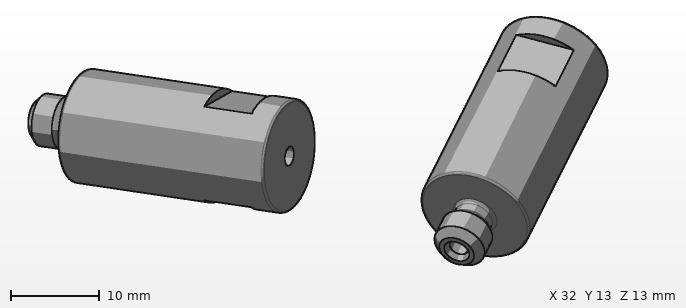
import cadquery as cq
import math

total_length = 32.0
body_diameter = 13.0
body_radius = body_diameter / 2
body_start = 6.0
rim_fillet = 0.25

head_radius = 3.0
head_chamfer = 0.93
head_end = 3.5
neck_radius = 2.2
neck_fillet = 0.4
shoulder_angle = math.radians(40)

bore_diameter = 2.2
mouth_diameter = 3.0
mouth_depth = 0.7

flat_start = 23.0
flat_length = 6.0
across_flats = 11.0


def turned_body():
    arc_centre_radius = neck_radius + neck_fillet
    cone_end_radius = arc_centre_radius - neck_fillet * math.cos(shoulder_angle)
    cone_end = head_end + (head_radius - cone_end_radius) / math.tan(shoulder_angle)
    arc_centre_x = cone_end + neck_fillet * math.sin(shoulder_angle)
    half_angle = shoulder_angle / 2
    cone_arc_middle = (
        arc_centre_x - neck_fillet * math.sin(half_angle),
        arc_centre_radius - neck_fillet * math.cos(half_angle),
    )
    face_arc_start = body_start - neck_fillet
    face_arc_middle = (
        face_arc_start + neck_fillet * math.sin(math.pi / 4),
        arc_centre_radius - neck_fillet * math.cos(math.pi / 4),
    )
    rim_inset = rim_fillet * (1 - math.cos(math.pi / 4))
    front_rim_middle = (body_start + rim_inset, body_radius - rim_inset)
    rear_rim_middle = (total_length - rim_inset, body_radius - rim_inset)
    profile = (
        cq.Workplane("XY")
        .moveTo(0, 0)
        .lineTo(0, head_radius - head_chamfer)
        .lineTo(head_chamfer, head_radius)
        .lineTo(head_end, head_radius)
        .lineTo(cone_end, cone_end_radius)
        .threePointArc(cone_arc_middle, (arc_centre_x, neck_radius))
        .lineTo(face_arc_start, neck_radius)
        .threePointArc(face_arc_middle, (body_start, arc_centre_radius))
        .lineTo(body_start, body_radius - rim_fillet)
        .threePointArc(front_rim_middle, (body_start + rim_fillet, body_radius))
        .lineTo(total_length - rim_fillet, body_radius)
        .threePointArc(rear_rim_middle, (total_length, body_radius - rim_fillet))
        .lineTo(total_length, 0)
        .close()
    )
    return profile.revolve(360, (0, 0, 0), (1, 0, 0))


def axial_hole():
    bore_radius = bore_diameter / 2
    profile = (
        cq.Workplane("XY")
        .moveTo(0, 0)
        .lineTo(0, mouth_diameter / 2)
        .lineTo(mouth_depth, bore_radius)
        .lineTo(total_length, bore_radius)
        .lineTo(total_length, 0)
        .close()
    )
    return profile.revolve(360, (0, 0, 0), (1, 0, 0))


def wrench_flat_cutter(side):
    cut_height = body_radius
    cut_centre_z = side * (across_flats + cut_height) / 2
    flat_centre_x = flat_start + flat_length / 2
    return (
        cq.Workplane("XY")
        .box(flat_length, body_diameter, cut_height)
        .translate((flat_centre_x, 0, cut_centre_z))
    )


result = turned_body().cut(axial_hole())
for side in (1, -1):
    result = result.cut(wrench_flat_cutter(side))